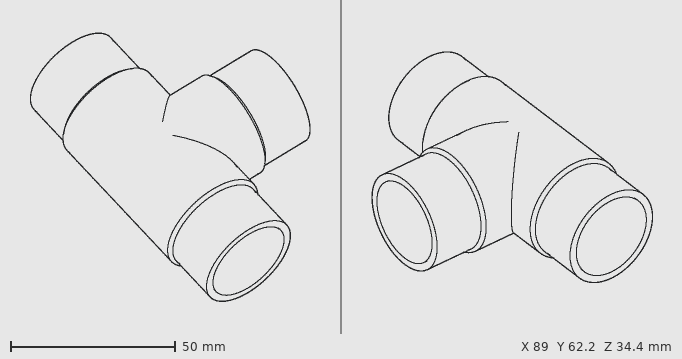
import cadquery as cq

run_length = 89.0
overall_depth = 62.2
body_diameter = 34.4
spigot_diameter = 32.0
bore_diameter = 27.15
spigot_length = 17.0
chamfer_length = 1.1

body_radius = body_diameter / 2
spigot_radius = spigot_diameter / 2
bore_radius = bore_diameter / 2
run_reach = run_length / 2
branch_reach = overall_depth - body_radius


def solid_arm(reach):
    """Revolve one arm about Y, from the tee centre to its spigot end."""
    shoulder = reach - spigot_length
    return (
        cq.Workplane("XY")
        .moveTo(0, 0)
        .lineTo(body_radius, 0)
        .lineTo(body_radius, shoulder - chamfer_length)
        .lineTo(spigot_radius, shoulder)
        .lineTo(spigot_radius, reach)
        .lineTo(0, reach)
        .close()
        .revolve(360, (0, 0, 0), (0, 1, 0))
    )


def turn_about_z(shape, angle):
    return shape.rotate((0, 0, 0), (0, 0, 1), angle)


outer = solid_arm(branch_reach)
for angle in (-90, 90):
    outer = outer.union(turn_about_z(solid_arm(run_reach), angle))

run_bore = cq.Workplane("YZ").circle(bore_radius).extrude(run_reach, both=True)
branch_bore = cq.Workplane("XZ").circle(bore_radius).extrude(-branch_reach)

result = outer.cut(run_bore).cut(branch_bore)